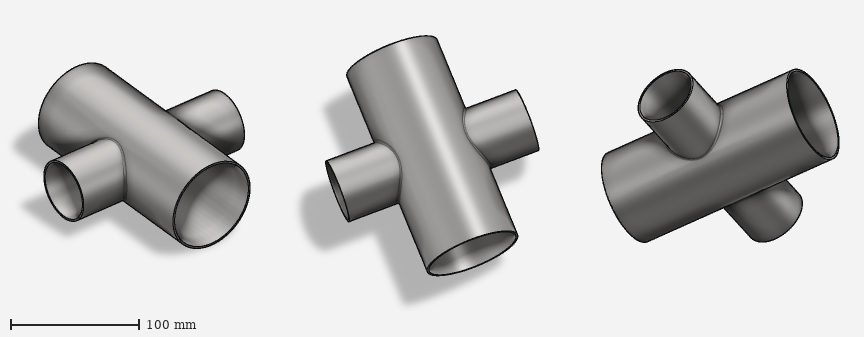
import cadquery as cq

run_length = 171.45
run_outer_diameter = 76.2

branch_span = 158.75
branch_outer_diameter = 50.8

wall = 1.65

junction_fillet = 1.5875


def rod_along_x(diameter, length):
    """Solid cylinder centred on the origin with its axis on X."""
    return cq.Workplane("YZ").circle(diameter / 2).extrude(length / 2, both=True)


def rod_along_y(diameter, length):
    """Solid cylinder centred on the origin with its axis on Y."""
    return cq.Workplane("XZ").circle(diameter / 2).extrude(length / 2, both=True)


def junction_edges(body):
    """Saddle curves where the branches meet the run, one on each side."""
    half_width = (branch_outer_diameter + wall) / 2
    half_depth = (run_outer_diameter + wall) / 2
    saddle_box = cq.selectors.BoxSelector(
        (-half_width, -half_depth, -half_width),
        (half_width, half_depth, half_width),
        boundingbox=True,
    )
    return body.edges(saddle_box)


def outer_body():
    """Run and branches as solid rods, blended at the junctions."""
    run = rod_along_x(run_outer_diameter, run_length)
    branches = rod_along_y(branch_outer_diameter, branch_span)
    body = run.union(branches)
    return junction_edges(body).fillet(junction_fillet)


def bores():
    """Through bores of the run and of the branches, leaving the tube wall."""
    run_bore = rod_along_x(run_outer_diameter - 2 * wall, run_length)
    branch_bore = rod_along_y(branch_outer_diameter - 2 * wall, branch_span)
    return run_bore.union(branch_bore)


result = outer_body().cut(bores())